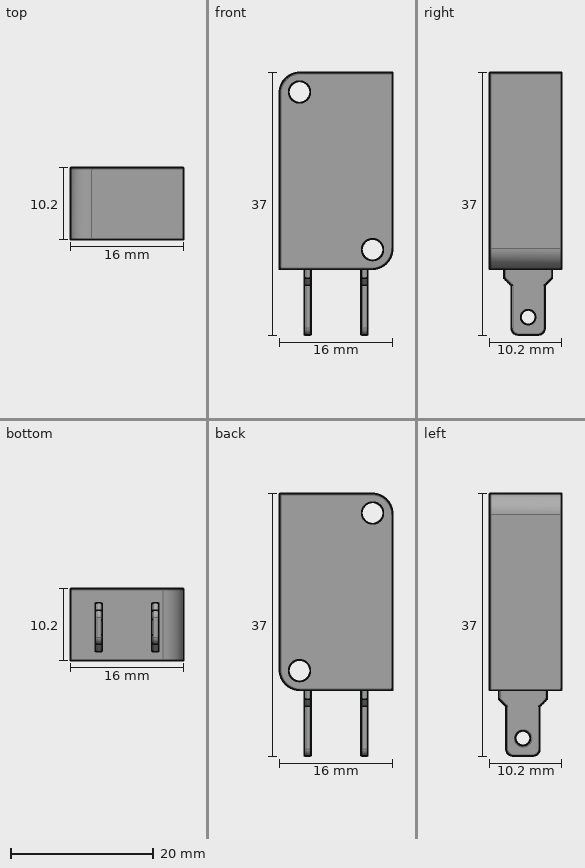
import cadquery as cq

width = 16.0
depth = 10.2
total_height = 37.0
terminal_length = 9.25
height = total_height - terminal_length
corner_radius = 2.95
edge_radius = 0.2

mount_diameter = 3.0
mount_spacing_x = 10.3
mount_spacing_z = 22.2

terminal_spacing = 8.0
terminal_thickness = 1.0
terminal_y = 0.37
shoulder_width = 6.85
blade_width = 4.77
shoulder_length = 1.22
taper_length = (shoulder_width - blade_width) / 2
tip_radius = 1.0
terminal_edge_radius = 0.2
eye_diameter = 2.05
eye_drop = 6.75


def make_housing():
    """Block standing on Z = 0 with two large rounded corners and two mounting holes."""
    block = cq.Workplane("XY").box(width, depth, height, centered=(True, True, False))
    block = block.edges("|Y and <X and >Z").fillet(corner_radius)
    block = block.edges("|Y and >X and <Z").fillet(corner_radius)
    block = block.edges("|Y and >X and >Z").fillet(edge_radius)
    block = block.faces("<Y or >Y").edges().fillet(edge_radius)
    hole_offsets = [
        (-mount_spacing_x / 2, height / 2 + mount_spacing_z / 2),
        (mount_spacing_x / 2, height / 2 - mount_spacing_z / 2),
    ]
    holes = (
        cq.Workplane("XZ")
        .pushPoints(hole_offsets)
        .circle(mount_diameter / 2)
        .extrude(depth, both=True)
    )
    return block.cut(holes)


def make_terminal(x):
    """Flat blade with a wide shoulder, hanging below Z = 0 and centred on x."""
    half_shoulder = shoulder_width / 2
    half_blade = blade_width / 2
    taper_end = -shoulder_length - taper_length
    blade = (
        cq.Workplane("YZ")
        .moveTo(-half_shoulder, 0)
        .lineTo(-half_shoulder, -shoulder_length)
        .lineTo(-half_blade, taper_end)
        .lineTo(-half_blade, -terminal_length)
        .lineTo(half_blade, -terminal_length)
        .lineTo(half_blade, taper_end)
        .lineTo(half_shoulder, -shoulder_length)
        .lineTo(half_shoulder, 0)
        .close()
        .extrude(terminal_thickness / 2, both=True)
        .edges("|X and <Z")
        .fillet(tip_radius)
    )
    eye = (
        cq.Workplane("YZ")
        .center(0, -eye_drop)
        .circle(eye_diameter / 2)
        .extrude(terminal_thickness, both=True)
    )
    blade = blade.faces("<X or >X").edges("not >Z").fillet(terminal_edge_radius)
    blade = blade.cut(eye)
    eye_rim = cq.selectors.RadiusNthSelector(-1)
    blade = blade.faces("<X").edges(eye_rim).fillet(terminal_edge_radius)
    return blade.translate((x, terminal_y, 0))


result = make_housing()
for side in (-1, 1):
    result = result.union(make_terminal(side * terminal_spacing / 2))